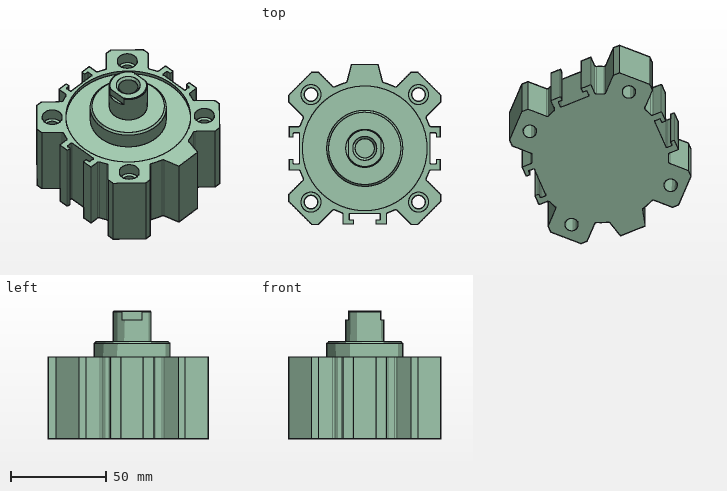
import cadquery as cq
import math

half_width = 40.0
housing_height = 43.0
barrel_radius = 35.95
root_fillet = 1.0

arm_width = 22.2
arm_corner_flat = 3.5

rail_reach = 39.7
rail_width = 22.85
slot_width = 16.2
slot_floor = 34.3
mouth_width = 11.7
lip_thickness = 2.2
slot_fillet = 0.3
rail_tip_fillet = 0.25

overall_depth = 84
boss_reach = overall_depth - half_width
boss_tip_width = 14.1
boss_root_width = 18.8
boss_root = 34.7

hole_spacing = 56.45
hole_diameter = 7.0
counterbore_diameter = 10.5
counterbore_depth = 6.8

recess_diameter = 65.5
recess_depth = 2.0
collar_diameter = 40.0
collar_rise = 8.0
collar_chamfer = 1.0

rod_diameter = 20.0
rod_length = 16.05
rod_chamfer = 0.4
flats_width = 17.0
flats_length = 4.5
rod_hole_diameter = 10.1
rod_hole_depth = 12.6
rod_hole_chamfer = 1.3

recess_floor = housing_height - recess_depth
collar_top = housing_height + collar_rise
rod_top = collar_top + rod_length


def cylinder(diameter, bottom, top):
    """Upright cylinder on the Z axis."""
    return cq.Workplane("XY").workplane(offset=bottom).circle(diameter / 2).extrude(top - bottom)


def make_arms():
    """Two crossing diagonal bars, trimmed to the outer square of the housing."""
    side_offset = arm_width / math.sqrt(2)
    end_corner = half_width - side_offset + arm_corner_flat
    bar_length = math.sqrt(2) * (half_width + end_corner)
    square = cq.Workplane("XY").rect(2 * half_width, 2 * half_width).extrude(housing_height)
    bar = cq.Workplane("XY").rect(bar_length, arm_width).extrude(housing_height)
    bars = [bar.rotate((0, 0, 0), (0, 0, 1), angle) for angle in (45, 135)]
    return bars[0].union(bars[1]).intersect(square)


def make_port_boss():
    """Tapered boss on +Y, starting inside the barrel."""
    taper = (boss_root_width - boss_tip_width) / (boss_reach - boss_root)
    inner_y = recess_diameter / 2
    inner_width = boss_root_width + taper * (boss_root - inner_y)
    outline = [
        (-inner_width / 2, inner_y),
        (inner_width / 2, inner_y),
        (boss_tip_width / 2, boss_reach),
        (-boss_tip_width / 2, boss_reach),
    ]
    return cq.Workplane("XY").polyline(outline).close().extrude(housing_height)


def make_rails():
    """Solid blocks for the rails: one bar across X and one towards -Y."""
    across = cq.Workplane("XY").rect(2 * rail_reach, rail_width).extrude(housing_height)
    below = (
        cq.Workplane("XY")
        .center(0, -rail_reach / 2)
        .rect(rail_width, rail_reach)
        .extrude(housing_height)
    )
    return across.union(below)


def make_slot():
    """T-slot cutter for the -Y rail, with rounded inner edges."""
    lip_inner = rail_reach - lip_thickness
    outline = [
        (mouth_width / 2, -rail_reach),
        (mouth_width / 2, -lip_inner),
        (slot_width / 2, -lip_inner),
        (slot_width / 2, -slot_floor),
        (-slot_width / 2, -slot_floor),
        (-slot_width / 2, -lip_inner),
        (-mouth_width / 2, -lip_inner),
        (-mouth_width / 2, -rail_reach),
    ]
    slot = cq.Workplane("XY").polyline(outline).close().extrude(housing_height)
    return slot.edges("|Z").edges("not <Y").fillet(slot_fillet)


def on_barrel(edge):
    """True for an edge lying on the barrel surface."""
    center = edge.Center()
    return math.isclose(math.hypot(center.x, center.y), barrel_radius, abs_tol=0.01)


def on_rail_tip(edge):
    """True for an edge lying on the outer face of a rail."""
    center = edge.Center()
    return math.isclose(max(abs(center.x), abs(center.y)), rail_reach, abs_tol=0.01)


def corner_cylinders(diameter, bottom):
    """Cutting cylinders on the four mounting hole axes, up to the housing end face."""
    return (
        cq.Workplane("XY")
        .workplane(offset=bottom)
        .rect(hole_spacing, hole_spacing, forConstruction=True)
        .vertices()
        .circle(diameter / 2)
        .extrude(housing_height - bottom)
    )


def make_housing():
    barrel = cylinder(2 * barrel_radius, 0, housing_height)
    housing = barrel.union(make_arms()).union(make_rails()).union(make_port_boss())
    housing = housing.edges("|Z").filter(on_barrel).fillet(root_fillet)

    slot = make_slot()
    for angle in (-90, 0, 90):
        housing = housing.cut(slot.rotate((0, 0, 0), (0, 0, 1), angle))
    housing = housing.edges("|Z").filter(on_rail_tip).fillet(rail_tip_fillet)

    collar = cylinder(collar_diameter, recess_floor, collar_top).faces(">Z").chamfer(collar_chamfer)
    return (
        housing.cut(cylinder(recess_diameter, recess_floor, housing_height))
        .union(collar)
        .cut(corner_cylinders(hole_diameter, 0))
        .cut(corner_cylinders(counterbore_diameter, housing_height - counterbore_depth))
    )


def make_rod():
    flats = (
        cq.Workplane("XY")
        .workplane(offset=rod_top - flats_length)
        .rect(2 * rod_diameter, rod_diameter)
        .rect(flats_width, rod_diameter)
        .extrude(flats_length)
    )
    hole = cylinder(rod_hole_diameter, rod_top - rod_hole_depth, rod_top)
    countersink = (
        cq.Workplane("XY")
        .workplane(offset=rod_top)
        .circle(rod_hole_diameter / 2 + rod_hole_chamfer)
        .extrude(-rod_hole_chamfer, taper=45)
    )
    rod = cylinder(rod_diameter, collar_top, rod_top).faces(">Z").chamfer(rod_chamfer)
    return rod.cut(flats).cut(hole).cut(countersink)


housing = make_housing()
rod = make_rod()
result = cq.Compound.makeCompound([housing.val(), rod.val()])